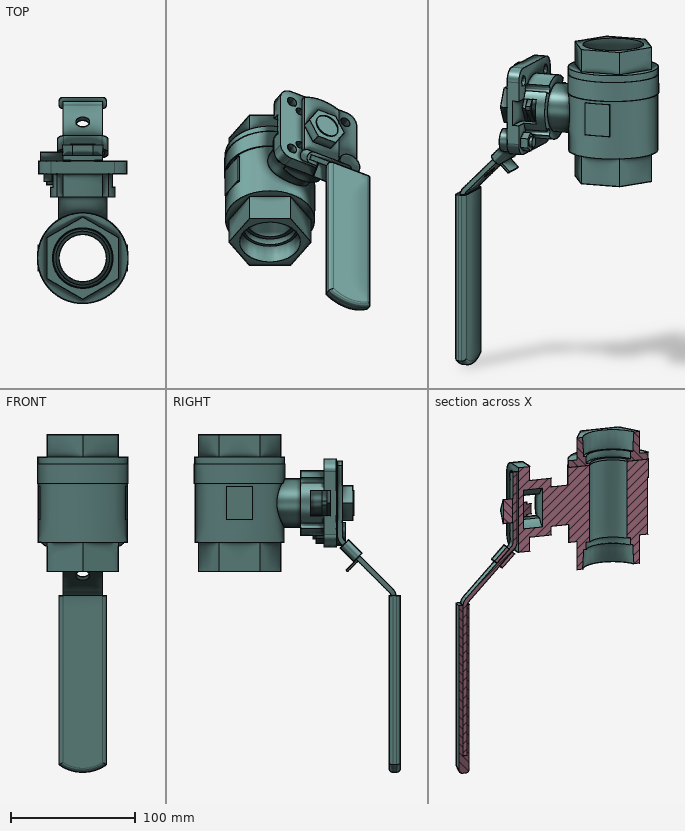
import cadquery as cq
import math


body_radius = 35.8
collar_radius = 73.03 / 2
flange_radius = 36.2
hex_across_flats = 57.2
port_end = 55.0
body_bottom = -31.6
collar_bottom = 15.6
cap_joint = 31.2
flange_top = 36.8

bore_radius = 18.9
seat_radius = 21.6
seat_depth = 22.0
thread_mouth_radius = 24.3
thread_root_radius = 23.6
thread_depth = 16.0

pad_width = 21.0
pad_height = 26.2

neck_radius = 19.6
bonnet_radius = 26.0
bonnet_start = 49.0
plate_start = 67.6
plate_end = 77.75
plate_size = 70.8
plate_corner_radius = 10.1
groove_pitch_radius = 25.0
groove_radius = 3.3
corner_hole_offset = 35.0 * math.sin(math.radians(45))
corner_hole_diameter = 8.4

window_start = 57.0
window_end = 72.9
window_height = 20.0
chamber_radius = 19.0

stem_radius = 10.0
stem_end = 91.6
square_start = 66.3
square_across_flats = 21.0
square_corner_radius = 13.3
gland_start = 70.2
gland_across_flats = 24.0

stem_nut_across_flats = 28.0
stem_nut_thickness = 8.3

lever_width = 32.0
lever_thickness = 4.0
lever_start = 78.5
lever_top = 33.8
lever_top_radius = 37.4
lever_slant = 51.3
lever_grip_leg_y = 123.8
lever_hole_diameter = 11.0
lever_hole_y = 107.9
bend_inner_radius = 6.0
bend_outer_radius = bend_inner_radius + lever_thickness

grip_back = 165.54 - collar_radius
grip_thickness = 9.1
grip_width = 38.2
grip_edge_radius = 3.2
grip_top = -74.2
grip_side_bottom = -209.9
grip_bottom = port_end - 271.16
grip_end_wall = 10.0

slide_width = 40.8
slide_thickness = 9.6
slide_lower_end = 138.4
slide_length = 15.2
tab_thickness = 1.8
tab_width = 20.0
tab_reach = 14.0
tab_gap = 0.5

bolt_head_radius = 9.2
bolt_head_end = 85.1
bolt_end = 58.8
bolt_nut_across_flats = 13.0
bolt_nut_thickness = 6.2


def hexagon(plane, across_flats, turn=0.0):
    """Hexagon on a plane, with a corner on the local x axis when turn is zero."""
    corner_diameter = across_flats / math.cos(math.radians(30))
    return cq.Workplane(plane).transformed(rotate=(0, 0, turn)).polygon(6, corner_diameter)


def level_plane(z):
    """Plane across the flow axis, facing +Z; local x is -X and local y is -Y."""
    return cq.Plane(origin=(0, 0, z), xDir=(-1, 0, 0), normal=(0, 0, 1))


def stem_plane(y, x=0.0, z=0.0):
    """Plane across the stem axis, facing +Y; local x is Z and local y is X."""
    return cq.Plane(origin=(x, y, z), xDir=(0, 0, 1), normal=(0, 1, 0))


def cylinder_z(radius, bottom, top):
    return cq.Workplane(level_plane(bottom)).circle(radius).extrude(top - bottom)


def cylinder_y(radius, start, end, x=0.0, z=0.0):
    return cq.Workplane(stem_plane(start, x, z)).circle(radius).extrude(end - start)


def port_hexagon(bottom, top):
    """Wrench hexagon with corners on +Y and -Y."""
    return hexagon(level_plane(bottom), hex_across_flats, turn=90).extrude(top - bottom)


def flow_passage():
    """Tapered thread, seat step and bore, mirrored about the stem axis."""
    thread_end = port_end - thread_depth
    seat_end = port_end - seat_depth
    return (
        cq.Workplane("XZ")
        .moveTo(0, port_end)
        .lineTo(thread_mouth_radius, port_end)
        .lineTo(thread_root_radius, thread_end)
        .lineTo(seat_radius, thread_end)
        .lineTo(seat_radius, seat_end)
        .lineTo(bore_radius, seat_end)
        .lineTo(bore_radius, -seat_end)
        .lineTo(seat_radius, -seat_end)
        .lineTo(seat_radius, -thread_end)
        .lineTo(thread_root_radius, -thread_end)
        .lineTo(thread_mouth_radius, -port_end)
        .lineTo(0, -port_end)
        .close()
        .revolve(360, (0, 0, 0), (0, 1, 0))
    )


def corners(offset):
    """Four (x, z) places on the diagonals of the mounting plate."""
    return [(x, z) for x in (-offset, offset) for z in (-offset, offset)]


def build_bonnet():
    """Neck, grooved bonnet and mounting plate with windows and gland chamber."""
    neck = cylinder_y(neck_radius, 0, bonnet_start)
    bonnet = cylinder_y(bonnet_radius, bonnet_start, plate_start)
    plate = (
        cq.Workplane(stem_plane(plate_start))
        .rect(plate_size, plate_size)
        .extrude(plate_end - plate_start)
        .edges("|Y")
        .fillet(plate_corner_radius)
    )
    bonnet = neck.union(bonnet).union(plate)

    groove_offset = groove_pitch_radius * math.sin(math.radians(45))
    for x, z in corners(groove_offset):
        bonnet = bonnet.cut(cylinder_y(groove_radius, bonnet_start, plate_end, x, z))
    for x, z in corners(corner_hole_offset):
        bonnet = bonnet.cut(cylinder_y(corner_hole_diameter / 2, plate_start, plate_end, x, z))

    window = (
        cq.Workplane(stem_plane(window_start))
        .rect(window_height, plate_size)
        .extrude(window_end - window_start)
    )
    chamber = cylinder_y(chamber_radius, window_start, window_end)
    stem_hole = cylinder_y(stem_radius, bonnet_start, plate_end)
    return bonnet.cut(window.union(chamber)).cut(stem_hole)


def build_body():
    barrel = cylinder_z(body_radius, body_bottom, collar_bottom)
    collar = cylinder_z(collar_radius, collar_bottom, cap_joint)
    pads = cq.Workplane("XY").box(2 * body_radius, pad_width, pad_height)
    return (
        barrel.union(collar)
        .union(pads)
        .union(port_hexagon(-port_end, body_bottom))
        .union(build_bonnet())
        .cut(flow_passage())
    )


def build_end_cap():
    flange = cylinder_z(flange_radius, cap_joint, flange_top)
    return flange.union(port_hexagon(flange_top, port_end)).cut(flow_passage())


def build_stem():
    """Round stem with a round-cornered square below a gland hexagon."""
    square = (
        cq.Workplane(stem_plane(square_start))
        .transformed(rotate=(0, 0, 45))
        .rect(square_across_flats, square_across_flats)
        .extrude(gland_start - square_start)
        .intersect(cylinder_y(square_corner_radius, square_start, gland_start))
    )
    gland = hexagon(stem_plane(gland_start), gland_across_flats, turn=90).extrude(window_end - gland_start)
    return cylinder_y(stem_radius, bonnet_start, stem_end).union(square).union(gland)


def build_stem_nut():
    nut_start = lever_start + lever_thickness
    nut = hexagon(stem_plane(nut_start), stem_nut_across_flats, turn=90).extrude(stem_nut_thickness)
    return nut.cut(cylinder_y(stem_radius, nut_start, stem_end))


def slanted_plane(y, z):
    """Plane across the 45 degree leg, facing up towards the stem; local x is X."""
    return cq.Plane(origin=(0, y, z), xDir=(1, 0, 0), normal=(0, -1, 1))


def bolt_head_relief():
    """Space of the stop bolt head, cut from the parts that pass beside it."""
    return cylinder_y(
        bolt_head_radius, plate_end, bolt_head_end, -corner_hole_offset, -corner_hole_offset
    )


def build_lever():
    lever_end = lever_start + lever_thickness
    grip_near = lever_grip_leg_y - lever_thickness / 2
    grip_far = lever_grip_leg_y + lever_thickness / 2
    slant_rise = lever_thickness / 2 * math.sqrt(2)
    upper_slant = lever_slant + slant_rise
    lower_slant = lever_slant - slant_rise
    bottom = grip_side_bottom + grip_end_wall

    outline = [
        (lever_start, lever_top),
        (lever_end, lever_top),
        (lever_end, upper_slant - lever_end),
        (grip_far, upper_slant - grip_far),
        (grip_far, bottom),
        (grip_near, bottom),
        (grip_near, lower_slant - grip_near),
        (lever_start, lower_slant - lever_start),
    ]
    lever = cq.Workplane("YZ").polyline(outline).close().extrude(lever_width / 2, both=True)

    def round_bend(part, corner, radius):
        picker = cq.selectors.NearestToPointSelector((0, corner[0], corner[1]))
        return part.edges("|X").edges(picker).fillet(radius)

    lever = round_bend(lever, outline[2], bend_inner_radius)
    lever = round_bend(lever, outline[7], bend_outer_radius)
    lever = round_bend(lever, outline[3], bend_outer_radius)
    lever = round_bend(lever, outline[6], bend_inner_radius)

    top_disc = cylinder_y(lever_top_radius, lever_start, lever_end, z=lever_top - lever_top_radius)
    below_stem = cq.Workplane("XY").box(
        lever_width, 2 * grip_back, -bottom, centered=(True, True, False)
    ).translate((0, 0, bottom))
    lever = lever.intersect(top_disc.union(below_stem))

    hole_centre = (0, lever_hole_y, lever_slant - lever_hole_y)
    hole_plane = cq.Plane(origin=hole_centre, xDir=(1, 0, 0), normal=(0, 1, 1))
    hole = (
        cq.Workplane(hole_plane)
        .circle(lever_hole_diameter / 2)
        .extrude(lever_thickness, both=True)
    )
    stem_hole = cylinder_y(stem_radius, lever_start, lever_end)
    return lever.cut(hole).cut(stem_hole).cut(bolt_head_relief())


def build_grip(lever):
    half_width = grip_width / 2
    grip = (
        cq.Workplane(stem_plane(grip_back - grip_thickness))
        .moveTo(grip_top, -half_width)
        .lineTo(grip_top, half_width)
        .lineTo(grip_side_bottom, half_width)
        .threePointArc((grip_bottom, 0), (grip_side_bottom, -half_width))
        .close()
        .extrude(grip_thickness)
    )
    grip = grip.faces("<Y or >Y").edges("not(>Z)").fillet(grip_edge_radius)
    return grip.cut(lever)


def build_lock_slide():
    """Flattened sleeve, slightly wider inside than the lever, around the lever with a bent finger tab."""
    start_y = (lever_slant + slide_lower_end) / 2
    start_z = (lever_slant - slide_lower_end) / 2
    plane = slanted_plane(start_y, start_z)
    sleeve = cq.Workplane(plane).slot2D(slide_width, slide_thickness).extrude(slide_length)
    inner_width = slide_width - (slide_thickness - lever_thickness)
    sleeve = sleeve.cut(
        cq.Workplane(plane).rect(inner_width, lever_thickness).extrude(slide_length)
    )

    tab_plane = cq.Plane(origin=(-tab_width / 2, start_y, start_z), xDir=(0, -1, -1), normal=(1, 0, 0))
    root = lever_thickness / 2
    tab = (
        cq.Workplane(tab_plane)
        .moveTo(root, 0)
        .lineTo(root + tab_thickness, 0)
        .lineTo(root + tab_thickness, tab_gap)
        .lineTo(tab_reach, tab_gap)
        .lineTo(tab_reach, tab_gap + tab_thickness)
        .lineTo(root, tab_gap + tab_thickness)
        .close()
        .extrude(tab_width)
    )
    return sleeve.cut(bolt_head_relief()).union(tab)


def build_stop_bolt():
    place = (-corner_hole_offset, -corner_hole_offset)
    head = cylinder_y(bolt_head_radius, plate_end, bolt_head_end, *place)
    return head.union(cylinder_y(corner_hole_diameter / 2, bolt_end, plate_end, *place))


def build_bolt_nut():
    plane = stem_plane(plate_start - bolt_nut_thickness, -corner_hole_offset, -corner_hole_offset)
    nut = hexagon(plane, bolt_nut_across_flats).extrude(bolt_nut_thickness)
    return nut.cut(cq.Workplane(plane).circle(corner_hole_diameter / 2).extrude(bolt_nut_thickness))


body = build_body()
end_cap = build_end_cap()
stem = build_stem()
stem_nut = build_stem_nut()
lever = build_lever()
grip = build_grip(lever)
lock_slide = build_lock_slide()
stop_bolt = build_stop_bolt()
bolt_nut = build_bolt_nut()

result = cq.Compound.makeCompound([
    body.val(),
    end_cap.val(),
    stem.val(),
    stem_nut.val(),
    lever.val(),
    grip.val(),
    lock_slide.val(),
    stop_bolt.val(),
    bolt_nut.val(),
])